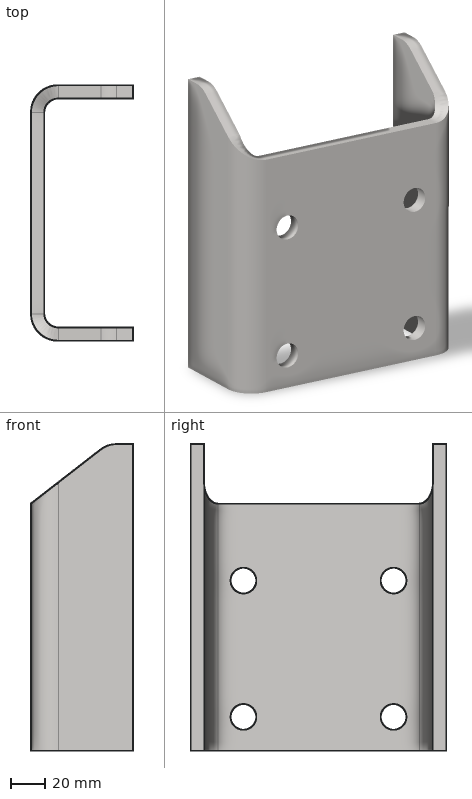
import cadquery as cq
import math

depth = 60.0
width = 150.0
height = 180.0
thickness = 8.0
bend_radius = 16.0

web_height = 145.0
slope_end_x = 45.0
top_corner_radius = 15.0
top_slope = (height - web_height) / slope_end_x
bend_steps = 12

hole_diameter = 15.0
hole_spacing_y = 88.0
hole_spacing_z = 80.0
lower_hole_z = 20.0


def make_channel():
    """U-shaped channel with its web at X = 0 and its open side toward +X."""
    outer = (
        cq.Workplane("XY")
        .box(depth, width, height, centered=(False, True, False))
        .edges("|Z and <X")
        .fillet(bend_radius)
    )
    inner = (
        cq.Workplane("XY")
        .box(depth, width - 2 * thickness, height, centered=(False, True, False))
        .edges("|Z and <X")
        .fillet(bend_radius - thickness)
        .translate((thickness, 0, 0))
    )
    return outer.cut(inner)


def bend_top_curve(radius):
    """Rising curve at a constant radius around the vertical axis of the +Y bend."""
    angles = [math.pi / 2 * step / bend_steps for step in range(bend_steps + 1)]
    points = [
        cq.Vector(
            bend_radius - radius * math.cos(angle),
            width / 2 - bend_radius + radius * math.sin(angle),
            web_height + top_slope * bend_radius * (1 - math.cos(angle)),
        )
        for angle in angles
    ]
    return cq.Edge.makeSpline(points, parameters=angles)


def make_bend_top_waste():
    """Material above the +Y bend; its underside is level across the sheet thickness."""
    inside_curve = bend_top_curve((bend_radius - thickness) / 2)
    outside_curve = bend_top_curve(bend_radius + thickness)
    underside = cq.Face.makeRuledSurface(inside_curve, outside_curve)
    return cq.Workplane(cq.Solid.extrudeLinear(underside, cq.Vector(0, 0, height)))


def make_web_top_waste():
    """Material above the flat part of the web."""
    return (
        cq.Workplane("XY", origin=(0, 0, web_height))
        .box(thickness, width - 2 * bend_radius, height, centered=(False, True, False))
    )


def make_flange_top_waste():
    """Material above the sloped edges of both flanges."""
    slope_start_z = web_height + top_slope * bend_radius
    return (
        cq.Workplane("XZ")
        .moveTo(bend_radius, slope_start_z)
        .lineTo(slope_end_x, height)
        .lineTo(bend_radius, height)
        .close()
        .extrude(width / 2, both=True)
    )


def round_flange_corners(body):
    """Round the corner between the slope and the level top of each flange."""
    for side in (-1, 1):
        corner = (slope_end_x, side * (width - thickness) / 2, height)
        body = body.edges(cq.selectors.NearestToPointSelector(corner)).fillet(top_corner_radius)
    return body


def make_holes():
    """Four cylinders through the web, in a rectangular pattern."""
    row_middle_z = lower_hole_z + hole_spacing_z / 2
    return (
        cq.Workplane("YZ")
        .center(0, row_middle_z)
        .rarray(hole_spacing_y, hole_spacing_z, 2, 2)
        .circle(hole_diameter / 2)
        .extrude(thickness)
    )


bend_top_waste = make_bend_top_waste()
bracket = make_channel().cut(make_flange_top_waste())
bracket = round_flange_corners(bracket)
bracket = bracket.cut(make_web_top_waste())
bracket = bracket.cut(bend_top_waste).cut(bend_top_waste.mirror("XZ"))
result = bracket.cut(make_holes())